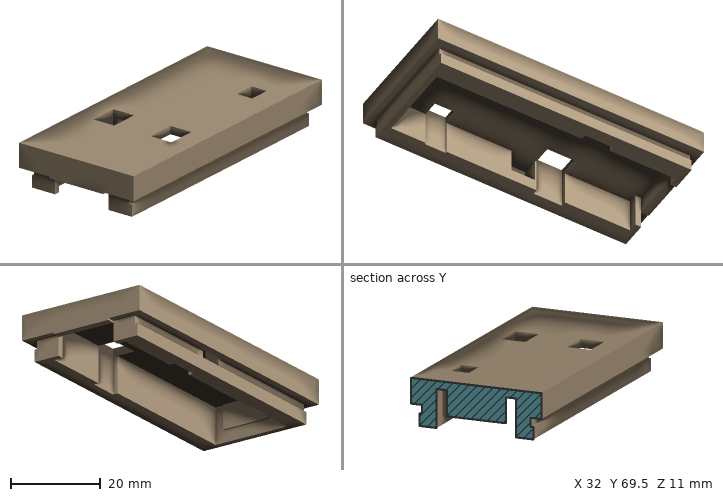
import cadquery as cq

length = 69.5
width = 32.0
height = 11.0

plate_thickness = 2.0
skirt_thickness = 2.0
skirt_height = 6.05
lip_height = 0.4

base_width = width - 2 * skirt_thickness
base_length = length - 2 * skirt_thickness
base_height = 3.0
neck_width = 26.6
cavity_width = 19.3
end_wall_thickness = 1.5
end_opening_width = 14.95

tongue_width = 14.5
tongue_thickness = 0.5

window_start_y = -6.4
window_length = 6.25

large_hole_width = 5.85
large_hole_length = 7.4
large_hole_x = 8.0
large_hole_y = -10.4
small_hole_width = 4.3
small_hole_length = 5.4
small_hole_x = 7.9
small_hole_y = 19.5

plate_bottom = height - plate_thickness
skirt_bottom = height - skirt_height
base_end_y = base_length / 2
cavity_end_y = base_end_y - end_wall_thickness


def block(x_range, y_range, z_range):
    """Axis-aligned box given by its limits along X, Y and Z."""
    x0, x1 = x_range
    y0, y1 = y_range
    z0, z1 = z_range
    return cq.Workplane("XY").box(x1 - x0, y1 - y0, z1 - z0, centered=False).translate((x0, y0, z0))


def centred(size):
    """Limits of a span of the given size centred on zero."""
    return (-size / 2, size / 2)


def make_lid():
    skirted_block = block(centred(width), centred(length), (skirt_bottom, height))
    lip = block(
        centred(end_opening_width),
        (-length / 2, -base_end_y),
        (skirt_bottom - lip_height, skirt_bottom),
    )
    return skirted_block.union(lip)


def make_frame():
    base = block(centred(base_width), centred(base_length), (0, base_height))
    neck = block(centred(neck_width), centred(base_length), (base_height, skirt_bottom))
    return base.union(neck)


def make_cavity():
    return block(centred(cavity_width), centred(2 * cavity_end_y), (0, plate_bottom))


def make_end_opening():
    """Gap in the -Y end wall, open downwards and closed at the front by the skirt."""
    return block(centred(end_opening_width), (-base_end_y, -cavity_end_y), (0, plate_bottom))


def make_tongue():
    return block(
        centred(tongue_width),
        (cavity_end_y - tongue_thickness, cavity_end_y),
        (base_height, plate_bottom),
    )


def make_window():
    return block(
        (cavity_width / 2, base_width / 2),
        (window_start_y, window_start_y + window_length),
        (base_height, plate_bottom),
    )


def make_hole(x, y, hole_width, hole_length):
    return cq.Workplane("XY").center(x, y).rect(hole_width, hole_length).extrude(height)


result = make_lid().union(make_frame())
result = result.cut(make_cavity()).cut(make_end_opening()).cut(make_window())
result = result.union(make_tongue())

for side in (-1, 1):
    result = result.cut(make_hole(side * large_hole_x, large_hole_y, large_hole_width, large_hole_length))
result = result.cut(make_hole(small_hole_x, small_hole_y, small_hole_width, small_hole_length))